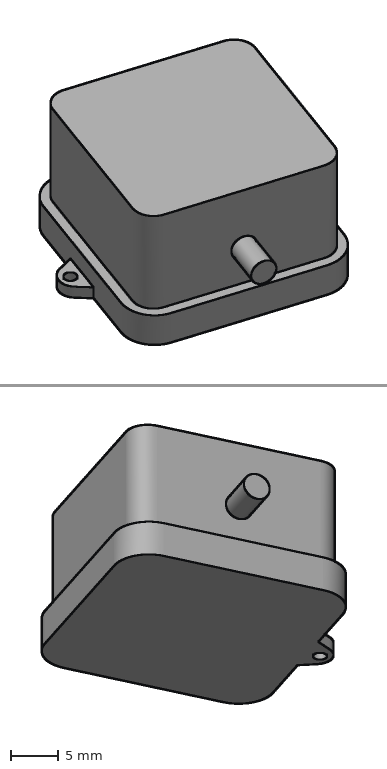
import cadquery as cq
import math

flange_size = 26.5
flange_height = 4.0
flange_corner_radius = 4.0

body_size = 24.0
total_height = 16.5
body_corner_radius = 2.5

pin_span = 33.5
pin_diameter = 3.0
pin_axis_height = 8.75

eyelet_thickness = 1.5
eyelet_reach = 2.8
eyelet_tip_radius = 2.0
eyelet_side_angle = math.radians(60)
eyelet_hole_diameter = 1.5
eyelet_hole_offset = 1.4


def rounded_block(size, height, corner_radius):
    """Square block standing on Z = 0 with rounded vertical edges."""
    block = cq.Workplane("XY").box(size, size, height, centered=(True, True, False))
    return block.edges("|Z").fillet(corner_radius)


def locking_pins():
    """One rod along X whose two ends project from the body as pins."""
    rod = cq.Workplane("YZ").center(0, pin_axis_height).circle(pin_diameter / 2)
    return rod.extrude(pin_span / 2, both=True)


def eyelet():
    """Tapering tab with a round tip, its sides tangent to the tip arc."""
    flange_face_y = -flange_size / 2
    tip_y = flange_face_y - eyelet_reach
    tip_center_y = tip_y + eyelet_tip_radius
    tangent_x = eyelet_tip_radius * math.sin(eyelet_side_angle)
    tangent_y = tip_center_y - eyelet_tip_radius * math.cos(eyelet_side_angle)
    root_x = tangent_x + (flange_face_y - tangent_y) / math.tan(eyelet_side_angle)
    tab = (
        cq.Workplane("XY")
        .moveTo(-root_x, flange_face_y)
        .lineTo(-tangent_x, tangent_y)
        .threePointArc((0, tip_y), (tangent_x, tangent_y))
        .lineTo(root_x, flange_face_y)
        .close()
        .extrude(eyelet_thickness)
    )
    hole = (
        cq.Workplane("XY")
        .center(0, flange_face_y - eyelet_hole_offset)
        .circle(eyelet_hole_diameter / 2)
        .extrude(eyelet_thickness)
    )
    return tab.cut(hole)


flange = rounded_block(flange_size, flange_height, flange_corner_radius)
body = rounded_block(body_size, total_height, body_corner_radius)
result = flange.union(body).union(locking_pins()).union(eyelet())